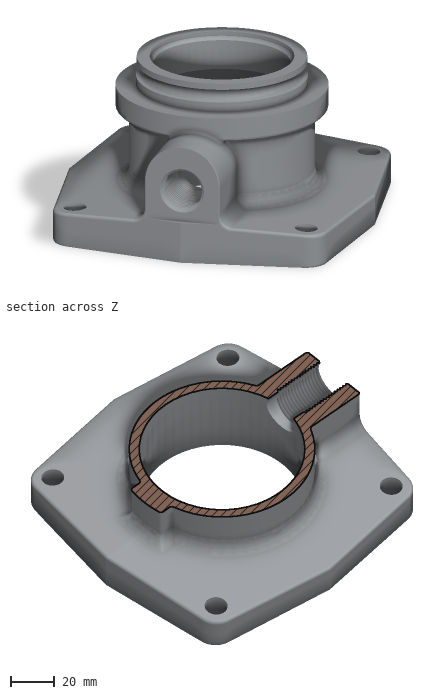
import cadquery as cq
import math

plate_half = 73.0
side_angle = 8.0
plate_corner_radius = 10.2
ridge_height = 18.8
slope_angle = 3.0
bolt_offset = 55.0
bolt_diameter = 10.5

body_radius = 42.8
collar_radius = 49.0
collar_bottom = 51.4
collar_top = 62.7
neck_radius = 39.6
lip_radius = 39.3
neck_top = 76.2
groove_root_radius = 36.0
groove_bottom = 67.0
groove_top = 73.3

mouth_radius = 33.3
mouth_depth = 2.0
throat_radius = 31.7
throat_depth = 17.7
chamber_radius = 38.0
cone_height = 11.1

port_half_width = 18.0
port_arc_height = 37.1
port_face = 70.4
port_ledge_height = 19.3
port_hole_height = 34.2
thread_minor_radius = 9.3
thread_major_radius = 10.5
thread_pitch = 1.8

rib_half_width = 10.4

root_fillet = 6.0
edge_fillet = 1.5

rim_distance = 0.9 * plate_half
root_distance = 0.8 * plate_half
blend_distance = collar_radius + edge_fillet / 10

slope = math.tan(math.radians(slope_angle))
plate_drop = slope * plate_half
plate_corner = plate_half / (1 + math.tan(math.radians(side_angle)))
mouth_bevel = mouth_radius - throat_radius
throat_bottom = neck_top - throat_depth


def is_plate_corner(edge):
    center = edge.Center()
    return min(abs(center.x), abs(center.y)) > plate_half / 2


def outline_prism(bottom, top):
    """Upright prism with the rounded plate outline."""
    points = [
        (plate_half, 0),
        (plate_corner, plate_corner),
        (0, plate_half),
        (-plate_corner, plate_corner),
        (-plate_half, 0),
        (-plate_corner, -plate_corner),
        (0, -plate_half),
        (plate_corner, -plate_corner),
    ]
    prism = cq.Workplane("XY", origin=(0, 0, bottom)).polyline(points).close().extrude(top - bottom)
    return prism.edges("|Z").filter(is_plate_corner).fillet(plate_corner_radius)


def sloped_plate():
    """Plate with mirrored slopes on top and underside, meeting Z = 0 at the X tips."""
    section = (
        cq.Workplane("XZ")
        .moveTo(0, ridge_height)
        .lineTo(plate_half, ridge_height - plate_drop)
        .lineTo(plate_half, 0)
        .lineTo(0, -plate_drop)
        .lineTo(-plate_half, 0)
        .lineTo(-plate_half, ridge_height - plate_drop)
        .close()
        .extrude(plate_half, both=True)
    )
    return outline_prism(-plate_drop, ridge_height).intersect(section)


def port_block():
    """Round-topped block running out to the plate wall."""
    block = (
        cq.Workplane("XZ")
        .moveTo(-port_half_width, 0)
        .lineTo(-port_half_width, port_arc_height)
        .threePointArc((0, port_arc_height + port_half_width), (port_half_width, port_arc_height))
        .lineTo(port_half_width, 0)
        .close()
        .extrude(plate_half)
    )
    return block.intersect(outline_prism(0, collar_top))


def rib():
    """Rib whose outer face is flush with the collar."""
    block = cq.Workplane("XY").box(
        2 * rib_half_width, collar_radius, collar_bottom, centered=(True, False, False)
    )
    return block.intersect(cq.Workplane("XY").circle(collar_radius).extrude(collar_bottom))


def round_edges(part, radius, wanted):
    return part.edges().filter(wanted).fillet(radius)


def axis_distance(edge):
    center = edge.Center()
    return math.hypot(center.x, center.y)


def is_outer_rim(edge):
    """Edges around the plate, whose fillet carries on smoothly around the outer end of the port."""
    box = edge.BoundingBox()
    return axis_distance(edge) > rim_distance and box.zlen < plate_drop + edge_fillet


def is_root(edge):
    """Edges where the body, port and rib rise from the plate."""
    box = edge.BoundingBox()
    inside_rim = axis_distance(edge) < root_distance
    return inside_rim and box.zmin > ridge_height - plate_drop and box.zmax < ridge_height + edge_fillet


def is_upper_blend(edge):
    """Edges under the collar, and the upright edges where the port and rib meet the body."""
    box = edge.BoundingBox()
    center = edge.Center()
    under_collar = box.zmin > collar_bottom - edge_fillet and box.zmax < collar_top - edge_fillet
    above_root = ridge_height + root_fillet < center.z < collar_bottom
    on_body = above_root and axis_distance(edge) < blend_distance
    on_symmetry_plane = min(abs(center.x), abs(center.y)) < edge_fillet
    return under_collar or (on_body and not on_symmetry_plane)


def rounded_casting():
    casting = sloped_plate()
    casting = casting.union(cq.Workplane("XY").circle(body_radius).extrude(collar_bottom))
    casting = casting.union(port_block()).union(rib())
    collar = cq.Workplane("XY", origin=(0, 0, collar_bottom)).circle(collar_radius)
    casting = casting.union(collar.extrude(collar_top - collar_bottom)).clean()
    casting = round_edges(casting, root_fillet, is_root)
    casting = round_edges(casting, edge_fillet, is_upper_blend)
    return round_edges(casting, edge_fillet, is_outer_rim)


def neck():
    groove_middle = (groove_bottom + groove_top) / 2
    return (
        cq.Workplane("XZ")
        .moveTo(0, collar_bottom)
        .lineTo(neck_radius, collar_bottom)
        .lineTo(neck_radius, groove_bottom)
        .threePointArc((groove_root_radius, groove_middle), (lip_radius, groove_top))
        .lineTo(lip_radius, neck_top)
        .lineTo(0, neck_top)
        .close()
        .revolve(360, (0, 0), (0, 1))
    )


def bore():
    mouth_bottom = neck_top - mouth_depth
    return (
        cq.Workplane("XZ")
        .moveTo(0, neck_top)
        .lineTo(mouth_radius, neck_top)
        .lineTo(mouth_radius, mouth_bottom)
        .lineTo(throat_radius, mouth_bottom - mouth_bevel)
        .lineTo(throat_radius, throat_bottom)
        .lineTo(chamber_radius, throat_bottom - cone_height)
        .lineTo(chamber_radius, 0)
        .lineTo(0, 0)
        .close()
        .revolve(360, (0, 0), (0, 1))
    )


def machined_flats():
    """Flat underside, and flat port face with the small ledge below it."""
    underside = cq.Workplane("XY").box(
        2 * plate_half, 2 * plate_half, plate_drop, centered=(True, True, False)
    ).translate((0, 0, -plate_drop))
    face_depth = plate_half - port_face
    port_facing = cq.Workplane("XY").box(
        2 * (port_half_width + root_fillet), face_depth, collar_top, centered=(True, False, False)
    ).translate((0, -plate_half, port_ledge_height))
    return underside.union(port_facing)


def threaded_hole():
    """Port hole with evenly pitched ring grooves standing for the thread."""
    points = [(0, 0), (thread_major_radius, 0)]
    threads = int((port_face - body_radius) / thread_pitch)
    for turn in range(threads):
        points.append((thread_minor_radius, (turn + 0.5) * thread_pitch))
        points.append((thread_major_radius, (turn + 1) * thread_pitch))
    points.append((thread_minor_radius, (threads + 0.5) * thread_pitch))
    points.append((thread_minor_radius, port_face))
    points.append((0, port_face))
    hole = cq.Workplane("XY").polyline(points).close().revolve(360, (0, 0), (0, 1))
    return hole.translate((0, -port_face, port_hole_height))


def bolt_holes():
    return (
        cq.Workplane("XY")
        .rect(2 * bolt_offset, 2 * bolt_offset, forConstruction=True)
        .vertices()
        .circle(bolt_diameter / 2)
        .extrude(ridge_height)
    )


result = rounded_casting().union(neck())
for cutter in (machined_flats(), bore(), threaded_hole(), bolt_holes()):
    result = result.cut(cutter)